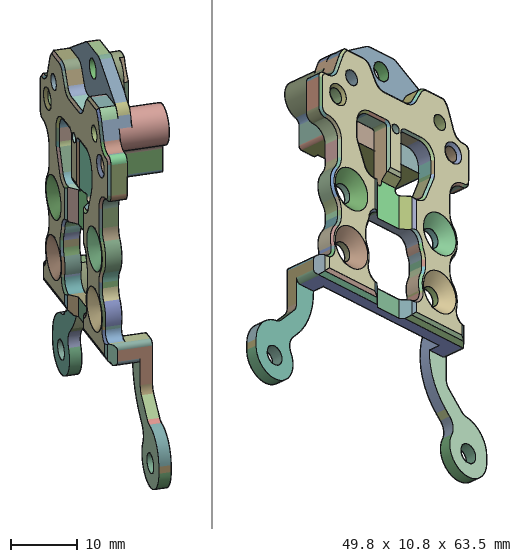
import cadquery as cq
import math

plate_depth = 3.0
tab_back = 5.0
arm_front = 5.0
arm_back = 7.0
web_back = 10.0
boss_back = 10.8
channel_depth = 1.5

tab_top = 63.5
plate_top = 58.9
notch_floor = 54.9
tab_bottom = 55.0
ear_top = 53.0
ear_bottom = 45.4
block_top = 21.85
block_bottom = 18.35

tab_half = 2.85
ear_half = 16.2
waist_half = 12.1
strip_half = 1.5
channel_floor_half = 2.35
channel_mouth_half = 4.05

shoulder = (11.3, 58.6)
armpit = (13.4, ear_top)
tab_shoulder_radius = 3.0
plate_shoulder_radius = 4.0

screw_x = 9.5
screw_heights = (35.1, 25.15)
screw_dia = 3.2
countersink_dia = 7.0
lobe_radius = 4.2
lobe_blend = 3.0
lobe_foot_blend = 1.5
lobe_foot_half = 4.0

wide_blend = 1.95
front_chamfer = 0.4
bottom_bevel = 0.95
side_bevel = 1.45
block_corner = 0.8
ear_top_corner = 1.15
ear_bottom_corner = 1.4
ear_root_blend = 2.6

boss_z = 54.2
boss_radius = 3.25
boss_hole_dia = 2.55
web_half = 9.65
web_top = 51.3
web_bottom = 46.1
clearance_radius = 8.9
clearance_half = 6.35

tab_hole_z = 60.25
tab_hole_dia = 3.2
ear_hole = (12.45, 50.15)
ear_hole_dia = 2.55
ear_hole_mouth_dia = 3.55
pin_hole_z = 49.25
pin_hole_dia = 1.5

overall_width = 49.8
eye_radius = 4.0
eye = (overall_width / 2 - eye_radius, eye_radius)
eye_hole_dia = 3.2
eye_shoulder_z = 5.15
eye_shoulder_radius = 5.0
arm_bend_radius = 12.0
arm_bend_z = 18.1
neck_blend = 2.5
eye_join_blend = 1.5
arm_inner_x = 12.5
arm_width = 3.2
cos_45 = math.sqrt(0.5)


def prism(points, front, back):
    """Polygon in X and Z, extruded from Y = front to Y = back."""
    return cq.Workplane("XZ", origin=(0, front, 0)).polyline(points).close().extrude(front - back)


def block(x0, x1, z0, z1, front, back):
    return prism([(x0, z0), (x1, z0), (x1, z1), (x0, z1)], front, back)


def rod(x, z, radius, front, back):
    return cq.Workplane("XZ", origin=(0, front, 0)).center(x, z).circle(radius).extrude(front - back)


def round_corners(body, corners):
    """Fillet the edge along Y nearest to each (x, z, radius)."""
    y_middle = body.val().BoundingBox().center.y
    for x, z, radius in corners:
        nearest = cq.selectors.NearestToPointSelector((x, y_middle, z))
        body = body.edges("|Y").edges(nearest).fillet(radius)
    return body


def lobe_edge(line_offset):
    """Height above a lobe centre at which a vertical line meets the lobe."""
    return math.sqrt(lobe_radius**2 - line_offset**2)


def lobe_reach(height_offset):
    """Distance beside a lobe centre at which a horizontal line meets the lobe."""
    return math.sqrt(lobe_radius**2 - height_offset**2)


def silhouette(back, shoulder_radius=tab_shoulder_radius):
    """Right half of the plate outline, including the tab area, without the plate's top notch."""
    upper, lower = screw_heights
    body = prism(
        [
            (0, block_bottom),
            (ear_half, block_bottom),
            (ear_half, block_top),
            (screw_x + lobe_foot_half, block_top),
            (screw_x + lobe_foot_half, lower),
            (waist_half, lower),
            (waist_half, ear_bottom),
            (ear_half, ear_bottom),
            (ear_half, ear_top),
            armpit,
            shoulder,
            (tab_half, tab_top),
            (0, tab_top),
        ],
        0,
        back,
    )
    for z in screw_heights:
        body = body.union(rod(screw_x, z, lobe_radius, 0, back))
    waist_rise = lobe_edge(waist_half - screw_x)
    corners = [
        (tab_half, tab_top, wide_blend),
        (*shoulder, shoulder_radius),
        (*armpit, wide_blend),
        (ear_half, ear_top, ear_top_corner),
        (ear_half, ear_bottom, ear_bottom_corner),
        (waist_half, ear_bottom, ear_root_blend),
        (waist_half, upper + waist_rise, lobe_blend),
        (waist_half, upper - waist_rise, lobe_blend),
        (waist_half, lower + waist_rise, lobe_blend),
        (screw_x + lobe_foot_half, block_top, lobe_foot_blend),
        (ear_half, block_top, block_corner),
        (ear_half, block_bottom, block_corner),
    ]
    return round_corners(body, corners)


def top_notch():
    """Space above the plate's top edge, dipping between the two shoulders."""
    floor_half = 3.4
    wall_angle = math.radians(60)
    mouth_half = floor_half + (plate_top - notch_floor) / math.tan(wall_angle)
    above = tab_top + 0.65
    space = prism(
        [
            (0, notch_floor),
            (floor_half, notch_floor),
            (mouth_half, plate_top),
            (ear_half, plate_top),
            (ear_half, above),
            (0, above),
        ],
        0,
        plate_depth,
    )
    corners = [(floor_half, notch_floor, wide_blend), (mouth_half, plate_top, wide_blend)]
    return round_corners(space, corners)


def upper_window():
    top = 49.65
    bottom = 39.35
    side = 8.0
    side_bottom = 44.5
    foot = 5.8
    strip_corner = 0.5
    top_corner = 2.5
    space = prism(
        [(strip_half, bottom), (foot, bottom), (side, side_bottom), (side, top), (strip_half, top)],
        0,
        plate_depth,
    )
    corners = [
        (strip_half, bottom, strip_corner),
        (foot, bottom, wide_blend),
        (side, side_bottom, wide_blend),
        (side, top, top_corner),
        (strip_half, top, strip_corner),
    ]
    return round_corners(space, corners)


def lower_window():
    top = 33.65
    bottom = 21.6
    side = 6.0
    foot = screw_x - lobe_foot_half
    upper_lobe_z = 32.5
    lower_lobe_z = screw_heights[1]
    space = block(0, side, lower_lobe_z, top, 0, plate_depth)
    space = space.union(block(0, foot, bottom, lower_lobe_z, 0, plate_depth))
    for z in (upper_lobe_z, lower_lobe_z):
        space = space.cut(rod(screw_x, z, lobe_radius, 0, plate_depth))
    side_rise = lobe_edge(screw_x - side)
    corners = [
        (side, upper_lobe_z - side_rise, lobe_blend),
        (side, lower_lobe_z + side_rise, lobe_blend),
        (screw_x - lobe_reach(top - upper_lobe_z), top, wide_blend),
        (foot, bottom, wide_blend),
    ]
    return round_corners(space, corners)


def eased_slope(mouth, floor, depth):
    """Profile points (position, depth) of a slope whose front edge is chamfered."""
    run = mouth - floor
    length = math.hypot(run, depth)
    eased = (mouth - run / length * front_chamfer, depth / length * front_chamfer)
    front = (mouth + math.copysign(front_chamfer, run), 0)
    return [front, eased, (floor, depth)]


def wedge_along_z(profile, z0, z1):
    """Extrude an (x, y) profile from z0 to z1."""
    return cq.Workplane("XY", origin=(0, 0, z0)).polyline(profile).close().extrude(z1 - z0)


def wedge_along_x(profile, width):
    """Extrude a (z, y) profile from the middle plane outwards."""
    points = [(y, z) for z, y in profile]
    return cq.Workplane("YZ").polyline(points).close().extrude(width)


def channel():
    """Sloping-sided groove down the middle of the front, ending in a slope on the strip."""
    strip_end = 41.8
    groove_top = strip_end - channel_depth
    sides = eased_slope(channel_mouth_half, channel_floor_half, channel_depth)
    groove = wedge_along_z([(0, 0), *sides, (0, channel_depth)], block_bottom, groove_top)
    end = eased_slope(strip_end, groove_top, channel_depth)
    return groove.union(wedge_along_x([(groove_top, 0), *end], strip_half))


def bevels():
    """Wedges removed from the front bottom edge and the front of the block's outer side."""
    bottom = eased_slope(block_bottom + bottom_bevel, block_bottom, bottom_bevel)
    side = eased_slope(ear_half - side_bevel, ear_half, side_bevel)
    bottom_wedge = wedge_along_x([(block_bottom, 0), *bottom], ear_half)
    side_wedge = wedge_along_z([(ear_half, 0), *side], block_bottom, screw_heights[1])
    return bottom_wedge.union(side_wedge)


def front_plate():
    plate = silhouette(plate_depth, plate_shoulder_radius).cut(top_notch())
    plate = plate.cut(upper_window()).cut(lower_window())
    on_middle_plane = cq.selectors.BoxSelector((-0.05, -0.65, 0), (0.05, 0.65, tab_top))
    front_edges = plate.faces("<Y").edges(cq.selectors.InverseSelector(on_middle_plane))
    return front_edges.chamfer(front_chamfer).cut(channel()).cut(bevels())


def tab():
    upper = block(0, ear_half, tab_bottom, tab_top, plate_depth, tab_back)
    tongue = block(0, screw_x, web_top, tab_bottom, plate_depth, tab_back)
    return silhouette(tab_back).intersect(upper.union(tongue))


def rear_bosses():
    boss_web_blend = 2.7
    boss_side_blend = 1.0
    web_corner = 0.6
    body = block(0, web_half, web_bottom, web_top, plate_depth, boss_back)
    body = body.union(rod(screw_x, boss_z, boss_radius, plate_depth, boss_back))
    boss_foot = screw_x - math.sqrt(boss_radius**2 - (boss_z - web_top) ** 2)
    boss_side = boss_z - math.sqrt(boss_radius**2 - (web_half - screw_x) ** 2)
    corners = [
        (boss_foot, web_top, boss_web_blend),
        (web_half, boss_side, boss_side_blend),
        (web_half, web_bottom, web_corner),
    ]
    body = round_corners(body, corners)
    body = body.cut(rod(0, tab_hole_z, clearance_radius, web_back, boss_back))
    return body.cut(block(0, clearance_half, web_bottom, boss_z, web_back, boss_back))


def diagonal_meets_circle(coordinate_sum, center, radius):
    """Upper point where the line x + z = coordinate_sum crosses a circle."""
    offset = (coordinate_sum - sum(center)) * cos_45
    run = math.sqrt(radius**2 - offset**2)
    return (center[0] + (offset - run) * cos_45, center[1] + (offset + run) * cos_45)


def arm_outline(front, back):
    """Arm running down from the block, bending outwards to the eye."""
    bend = (arm_inner_x + arm_bend_radius, arm_bend_z)
    bend_end = (bend[0] - arm_bend_radius * cos_45, bend[1] - arm_bend_radius * cos_45)
    bend_top_x = bend[0] - math.sqrt(arm_bend_radius**2 - (block_top - bend[1]) ** 2)
    outer_sum = sum(bend_end) + arm_width / cos_45
    eye_side = eye[0] + eye_radius
    shoulder_x = eye_side - eye_shoulder_radius
    reach = eye_shoulder_radius * cos_45
    shoulder_middle = (shoulder_x + reach, eye_shoulder_z + reach)
    elbow = (ear_half, outer_sum - ear_half)
    eye_join = diagonal_meets_circle(outer_sum, (shoulder_x, eye_shoulder_z), eye_shoulder_radius)
    neck = diagonal_meets_circle(sum(bend_end), eye, eye_radius)
    body = (
        cq.Workplane("XZ", origin=(0, front, 0))
        .moveTo(bend_top_x, block_top)
        .lineTo(ear_half, block_top)
        .lineTo(*elbow)
        .lineTo(*eye_join)
        .threePointArc(shoulder_middle, (eye_side, eye_shoulder_z))
        .lineTo(eye_side, eye[1])
        .threePointArc((eye[0] - eye_radius * cos_45, eye[1] - eye_radius * cos_45), neck)
        .lineTo(*bend_end)
        .threePointArc((arm_inner_x, bend[1]), (bend_top_x, block_top))
        .close()
        .extrude(front - back)
    )
    corners = [
        (*elbow, wide_blend),
        (*eye_join, eye_join_blend),
        (*neck, neck_blend),
        (ear_half, block_top, block_corner),
    ]
    return round_corners(body, corners)


def arm():
    connector = arm_outline(plate_depth, arm_front)
    connector = connector.intersect(silhouette(arm_front))
    return connector.union(arm_outline(arm_front, arm_back))


def countersunk(x, z, dia, mouth_dia):
    """Through hole with a 90 degree countersink in the front face."""
    cone_depth = (mouth_dia - dia) / 2
    cone = cq.Solid.makeCone(mouth_dia / 2, dia / 2, cone_depth, cq.Vector(x, 0, z), cq.Vector(0, 1, 0))
    return rod(x, z, dia / 2, 0, plate_depth).union(cq.Workplane(obj=cone))


def holes():
    through = boss_back
    body = rod(0, tab_hole_z, tab_hole_dia / 2, 0, through)
    body = body.union(rod(0, pin_hole_z, pin_hole_dia / 2, 0, through))
    for side in (-1, 1):
        body = body.union(rod(side * screw_x, boss_z, boss_hole_dia / 2, 0, through))
        body = body.union(rod(side * eye[0], eye[1], eye_hole_dia / 2, 0, through))
        for z in screw_heights:
            body = body.union(countersunk(side * screw_x, z, screw_dia, countersink_dia))
        body = body.union(countersunk(side * ear_hole[0], ear_hole[1], ear_hole_dia, ear_hole_mouth_dia))
    return body


half = front_plate().union(tab()).union(rear_bosses()).union(arm())
result = half.union(half.mirror("YZ")).cut(holes())